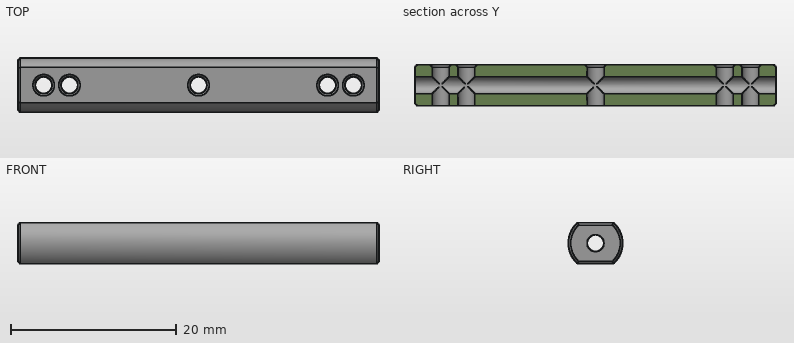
import cadquery as cq

length = 43.75
rod_diameter = 6.6
height_across_flats = 5.0
end_chamfer = 0.3

bore_diameter = 2.0
cross_hole_diameter = 2.0
countersink_diameter = 2.6
countersink_depth = (countersink_diameter - cross_hole_diameter) / 2
hole_pitch = 3.125
hole_steps = [-6, -5, 0, 5, 6]


def make_bar():
    """Rod along X, centred on the origin, with flats at top and bottom and chamfered ends."""
    rod = cq.Workplane("YZ").circle(rod_diameter / 2).extrude(length / 2, both=True)
    flats_envelope = cq.Workplane("XY").box(length, rod_diameter, height_across_flats)
    bar = rod.intersect(flats_envelope)
    return bar.faces("<X or >X").edges().chamfer(end_chamfer)


def make_axial_bore():
    """Straight bore through the full length of the bar."""
    return cq.Workplane("YZ").circle(bore_diameter / 2).extrude(length / 2, both=True)


def make_cross_hole(x):
    """Vertical through hole at x, with a countersink in the top flat."""
    top = height_across_flats / 2
    hole_radius = cross_hole_diameter / 2
    hole = cq.Workplane("XY").center(x, 0).circle(hole_radius).extrude(top, both=True)
    countersink = cq.Solid.makeCone(
        hole_radius,
        countersink_diameter / 2,
        countersink_depth,
        pnt=cq.Vector(x, 0, top - countersink_depth),
    )
    return hole.union(cq.Workplane(countersink))


result = make_bar().cut(make_axial_bore())
for step in hole_steps:
    result = result.cut(make_cross_hole(step * hole_pitch))